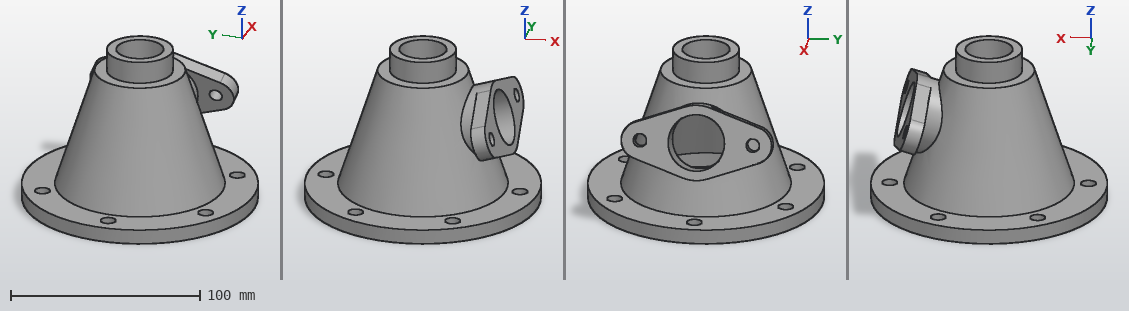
import cadquery as cq
import math

flange_diameter = 125
flange_thickness = 8.0
bolt_circle_diameter = 105
bolt_hole_diameter = 8.0
bolt_count = 6

cone_base_diameter = 90
cone_top_diameter = 48.0
cone_height = 65
wall = 5

collar_diameter = 35
collar_height = 12.0
collar_bore = 25

port_face_x = 44.0
port_face_z = 50
port_diameter = 40
port_bore = 30
port_plate_thickness = 8.0
lug_radius = 10
lug_spacing = 60
lug_hole_diameter = 7.0

cone_top_z = flange_thickness + cone_height
total_height = cone_top_z + collar_height
cone_slope = (cone_base_diameter - cone_top_diameter) / 2 / cone_height
cone_angle = math.atan(cone_slope)
wall_across = wall / math.cos(cone_angle)
port_reach = port_face_x / math.cos(cone_angle)


def make_body():
    """Flange, cone and collar as one solid of revolution."""
    return (
        cq.Workplane("XZ")
        .lineTo(flange_diameter / 2, 0)
        .lineTo(flange_diameter / 2, flange_thickness)
        .lineTo(cone_base_diameter / 2, flange_thickness)
        .lineTo(cone_top_diameter / 2, cone_top_z)
        .lineTo(collar_diameter / 2, cone_top_z)
        .lineTo(collar_diameter / 2, total_height)
        .lineTo(0, total_height)
        .close()
        .revolve(360, (0, 0), (0, 1))
    )


def make_cavity():
    """Straight opening in the flange, conical chamber and collar bore."""
    base_radius = cone_base_diameter / 2 - wall_across
    roof_z = cone_top_z - wall
    roof_radius = base_radius - cone_slope * (roof_z - flange_thickness)
    return (
        cq.Workplane("XZ")
        .lineTo(base_radius, 0)
        .lineTo(base_radius, flange_thickness)
        .lineTo(roof_radius, roof_z)
        .lineTo(collar_bore / 2, roof_z)
        .lineTo(collar_bore / 2, total_height)
        .lineTo(0, total_height)
        .close()
        .revolve(360, (0, 0), (0, 1))
    )


def port_plane():
    """Plane on the port face: local X runs along Y, the normal points outwards."""
    return cq.Workplane(
        cq.Plane(
            origin=(port_face_x, 0, port_face_z),
            xDir=(0, 1, 0),
            normal=(math.cos(cone_angle), 0, math.sin(cone_angle)),
        )
    )


def make_port_plate():
    """Two-lug plate: the port circle joined to both lug circles by tangent lines."""
    port_radius = port_diameter / 2
    lug_offset = lug_spacing / 2
    tangent_sin = (port_radius - lug_radius) / lug_offset
    tangent_cos = math.sqrt(1 - tangent_sin**2)
    port_x = port_radius * tangent_sin
    port_y = port_radius * tangent_cos
    lug_x = lug_offset + lug_radius * tangent_sin
    lug_y = lug_radius * tangent_cos
    lug_tip = lug_offset + lug_radius
    return (
        port_plane()
        .moveTo(port_x, port_y)
        .lineTo(lug_x, lug_y)
        .threePointArc((lug_tip, 0), (lug_x, -lug_y))
        .lineTo(port_x, -port_y)
        .threePointArc((0, -port_radius), (-port_x, -port_y))
        .lineTo(-lug_x, -lug_y)
        .threePointArc((-lug_tip, 0), (-lug_x, lug_y))
        .lineTo(-port_x, port_y)
        .threePointArc((0, port_radius), (port_x, port_y))
        .close()
        .extrude(-port_plate_thickness)
    )


neck = port_plane().circle(port_diameter / 2).extrude(-port_reach)
port_hole = port_plane().circle(port_bore / 2).extrude(-port_reach)
lug_holes = (
    port_plane()
    .pushPoints([(-lug_spacing / 2, 0), (lug_spacing / 2, 0)])
    .circle(lug_hole_diameter / 2)
    .extrude(-port_plate_thickness)
)
bolt_holes = (
    cq.Workplane("XY")
    .polarArray(bolt_circle_diameter / 2, 0, 360, bolt_count)
    .circle(bolt_hole_diameter / 2)
    .extrude(flange_thickness)
)

result = (
    make_body()
    .union(neck)
    .union(make_port_plate())
    .cut(make_cavity())
    .cut(port_hole)
    .cut(lug_holes)
    .cut(bolt_holes)
)